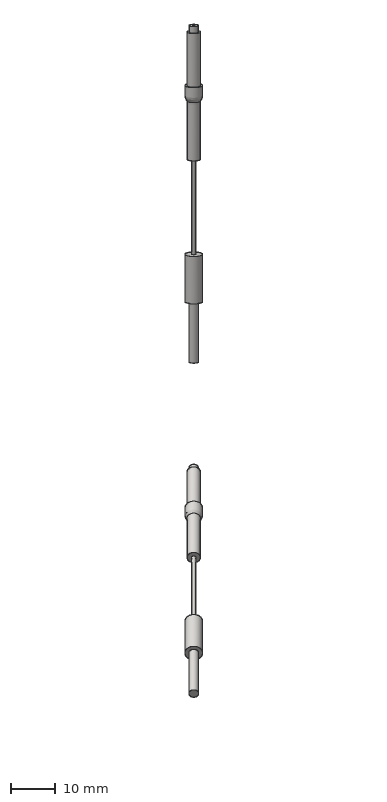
import cadquery as cq

total_length = 78.05
tail_pin_length = 14.0
sleeve_length = 11.0
rod_length = 22.0
tip_length = 1.5

sleeve_diameter = 4.0
tail_pin_diameter = 2.2
rod_diameter = 1.0
lower_barrel_diameter = 3.0
upper_barrel_diameter = 3.05
band_top_diameter = 3.07
collar_diameter = sleeve_diameter
tip_diameter = 2.1
tip_bore_diameter = 0.5
tip_bore_depth = tip_length

collar_drop = 12.4
collar_length = 2.4
lower_rim_length = 0.5
lower_rim_diameter = 3.8
collar_taper_length = 0.7
band_length = 0.5

sleeve_bottom = tail_pin_length
sleeve_top = sleeve_bottom + sleeve_length
barrel_bottom = sleeve_top + rod_length
barrel_top = total_length - tip_length
collar_top = barrel_top - collar_drop
collar_bottom = collar_top - collar_length
rim_bottom = collar_bottom - lower_rim_length
taper_bottom = rim_bottom - collar_taper_length
band_bottom = taper_bottom - band_length


def make_barrel():
    """Collared barrel with a bored tip on top, turned about Z."""
    profile = [
        (0, barrel_bottom),
        (lower_barrel_diameter / 2, barrel_bottom),
        (lower_barrel_diameter / 2, band_bottom),
        (band_top_diameter / 2, taper_bottom),
        (lower_rim_diameter / 2, rim_bottom),
        (collar_diameter / 2, collar_bottom),
        (collar_diameter / 2, collar_top),
        (upper_barrel_diameter / 2, collar_top),
        (upper_barrel_diameter / 2, barrel_top),
        (tip_diameter / 2, barrel_top),
        (tip_diameter / 2, total_length),
        (0, total_length),
    ]
    turned = cq.Workplane("XZ").polyline(profile).close().revolve(360, (0, 0, 0), (0, 1, 0))
    bore = (
        cq.Workplane("XY", origin=(0, 0, total_length - tip_bore_depth))
        .circle(tip_bore_diameter / 2)
        .extrude(tip_bore_depth)
    )
    return turned.cut(bore)


def make_rod():
    """Thin rod joining the sleeve to the barrel, butted against both."""
    return (
        cq.Workplane("XY", origin=(0, 0, sleeve_top))
        .circle(rod_diameter / 2)
        .extrude(rod_length)
    )


def make_sleeve():
    """Thick sleeve with the tail pin below it."""
    tail_pin = cq.Workplane("XY").circle(tail_pin_diameter / 2).extrude(tail_pin_length)
    sleeve = (
        cq.Workplane("XY", origin=(0, 0, sleeve_bottom))
        .circle(sleeve_diameter / 2)
        .extrude(sleeve_length)
    )
    return sleeve.union(tail_pin)


barrel = make_barrel()
rod = make_rod()
sleeve = make_sleeve()

result = cq.Compound.makeCompound([barrel.val(), rod.val(), sleeve.val()])